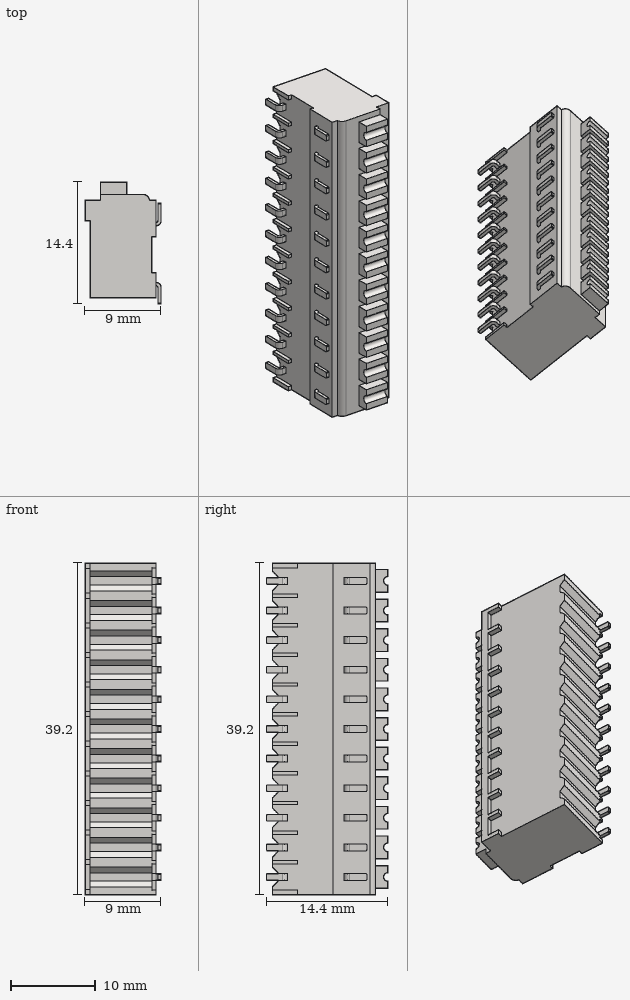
import cadquery as cq
import math

pole_count = 11
pole_pitch = 3.5
end_margin = 2.1
body_length = (pole_count - 1) * pole_pitch + 2 * end_margin
pole_heights = [(i - (pole_count - 1) / 2) * pole_pitch for i in range(pole_count)]

band_x = 0.0
wall_x = 0.6
head_x = 1.8
head_y = 12.23
shoulder_y = 11.55
band_bottom_y = 10.63
tooth_bottom_y = 9.1
foot_x = 8.4
recess_x = 7.9
recess_bottom_y = 2.98
recess_top_y = 7.2
head_corner_start_x = 6.85
head_corner_radius = 0.8

tooth_width = 0.6
rib_width = 0.4

groove_mouth = 2.35
groove_floor = 1.0
groove_depth = 0.65

lever_top_y = 13.67
lever_end_x = 4.95
lever_width = 2.7
lever_notch_radius = 0.5

pin_width = 0.8
pin_thickness = 0.4
pin_outer_x = 9.0
pin_inner_bend_radius = 0.2
pin_outer_bend_radius = pin_inner_bend_radius + pin_thickness
pin_tip_chamfer = 0.1
overall_depth = 14.38
lower_pin_tip_y = lever_top_y - overall_depth
lower_pin_root_y = 1.82
upper_pin_tip_y = 11.2
upper_pin_root_y = 8.5
pin_embed = 0.5


def block(x_range, y_range, z_center, z_width):
    """Rectangular block from its X and Y limits, centred on a height."""
    (x0, x1), (y0, y1) = x_range, y_range
    return cq.Workplane("XY").box(x1 - x0, y1 - y0, z_width).translate(
        ((x0 + x1) / 2, (y0 + y1) / 2, z_center)
    )


def make_housing():
    corner_center_x = head_corner_start_x
    corner_center_y = head_y - head_corner_radius
    corner_end_x = corner_center_x + math.sqrt(
        head_corner_radius**2 - (shoulder_y - corner_center_y) ** 2
    )
    corner_mid = (
        corner_center_x + head_corner_radius * math.sin(math.pi / 4),
        corner_center_y + head_corner_radius * math.cos(math.pi / 4),
    )
    return (
        cq.Workplane("XY")
        .workplane(offset=-body_length / 2)
        .moveTo(wall_x, 0)
        .lineTo(foot_x, 0)
        .lineTo(foot_x, recess_bottom_y)
        .lineTo(recess_x, recess_bottom_y)
        .lineTo(recess_x, recess_top_y)
        .lineTo(foot_x, recess_top_y)
        .lineTo(foot_x, shoulder_y)
        .lineTo(corner_end_x, shoulder_y)
        .threePointArc(corner_mid, (head_corner_start_x, head_y))
        .lineTo(head_x, head_y)
        .lineTo(head_x, shoulder_y)
        .lineTo(band_x, shoulder_y)
        .lineTo(band_x, tooth_bottom_y)
        .lineTo(wall_x, tooth_bottom_y)
        .close()
        .extrude(body_length)
    )


def side_window(z):
    """Gap between two teeth, below the band."""
    return block((band_x, wall_x), (tooth_bottom_y, band_bottom_y), z, pole_pitch - tooth_width)


def foot_pocket(z):
    """Gap between two ribs of the lower foot."""
    return block((recess_x, foot_x), (0, recess_bottom_y), z, pole_pitch - rib_width)


def bottom_groove(z):
    return (
        cq.Workplane("YZ")
        .workplane(offset=wall_x)
        .moveTo(0, z - groove_mouth / 2)
        .lineTo(groove_depth, z - groove_floor / 2)
        .lineTo(groove_depth, z + groove_floor / 2)
        .lineTo(0, z + groove_mouth / 2)
        .close()
        .extrude(recess_x - wall_x)
    )


def lever(z):
    body = block((head_x, lever_end_x), (shoulder_y, lever_top_y), z, lever_width)
    notch = (
        cq.Workplane("YZ")
        .workplane(offset=head_x)
        .center(lever_top_y, z)
        .circle(lever_notch_radius)
        .extrude(lever_end_x - head_x)
    )
    return body.cut(notch)


def pin(z, face_x, root_y, tip_y):
    """L-shaped pin leaving the housing at face_x and turning along Y to its tip."""
    direction = math.copysign(1, tip_y - root_y)
    root_inner_y = root_y + direction * pin_thickness
    inner_x = pin_outer_x - pin_thickness
    start_x = face_x - pin_embed
    bend_x = pin_outer_x - pin_outer_bend_radius
    bend_y = root_y + direction * pin_outer_bend_radius

    def bend_middle(radius):
        diagonal = radius * math.sqrt(0.5)
        return (bend_x + diagonal, bend_y - direction * diagonal)

    bent_strip = (
        cq.Workplane("XY")
        .workplane(offset=z - pin_width / 2)
        .moveTo(start_x, root_y)
        .lineTo(bend_x, root_y)
        .threePointArc(bend_middle(pin_outer_bend_radius), (pin_outer_x, bend_y))
        .lineTo(pin_outer_x, tip_y)
        .lineTo(inner_x, tip_y)
        .lineTo(inner_x, bend_y)
        .threePointArc(bend_middle(pin_inner_bend_radius), (bend_x, root_inner_y))
        .lineTo(start_x, root_inner_y)
        .close()
        .extrude(pin_width)
    )
    tip_face = ">Y" if direction > 0 else "<Y"
    return bent_strip.faces(tip_face).edges("|X").chamfer(pin_tip_chamfer)


result = make_housing()
for pole_z in pole_heights:
    result = result.cut(side_window(pole_z)).cut(foot_pocket(pole_z)).cut(bottom_groove(pole_z))
for pole_z in pole_heights:
    result = result.union(lever(pole_z))
    result = result.union(pin(pole_z, recess_x, lower_pin_root_y, lower_pin_tip_y))
    result = result.union(pin(pole_z, foot_x, upper_pin_root_y, upper_pin_tip_y))